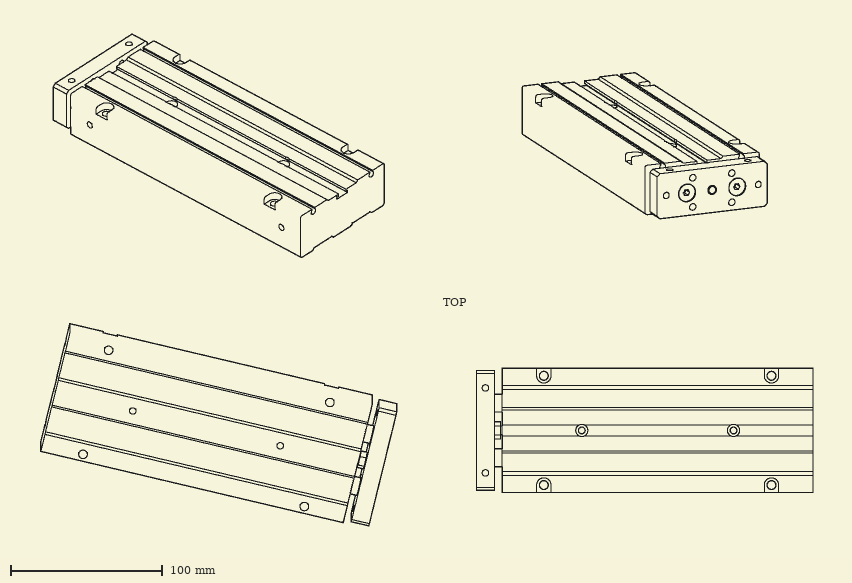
import cadquery as cq
import math


overall_length = 222.0
plate_thickness = 12.0
plate_gap = 5.0
housing_start = plate_thickness + plate_gap
housing_length = overall_length - housing_start

housing_width = 82.0
housing_height = 34.0
half_width = housing_width / 2
half_height = housing_height / 2
top_edge_radius = 1.5
bottom_edge_radius = 2.0

channel_half_width = 15.0
channel_depth = 1.5
groove_half_width = 3.6
groove_depth = 4.8
groove_undercut = 1.5
groove_lip_thickness = 1.8

relief_inner = 8.6
relief_outer = 28.8
relief_depth = 1.5

sensor_slot_y = 28.3
sensor_slot_opening = 2.7
sensor_bore_diameter = 4.2
sensor_bore_depth = 2.5

mount_xs = (44.5, 194.5)
mount_y = 36.0
mount_hole_diameter = 5.7
mount_pocket_width = 9.5
mount_pocket_depth = 5.5

center_hole_xs = (69.5, 169.5)
center_hole_diameter = 4.3
center_bore_diameter = 8.0
center_bore_depth = 9.0

port_end_distance = 17.0
port_xs = (housing_start + port_end_distance, overall_length - port_end_distance)
port_diameter = 4.5
port_depth = 4.0
port_passage_diameter = 2.0
port_passage_depth = 8.0

plate_inset = 1.5
plate_width = housing_width - 2 * plate_inset
plate_height = housing_height - 2 * plate_inset
plate_chamfer = 2.0
face_hole_y = 14.0
face_hole_z = 10.0
face_hole_diameter = 4.5
side_hole_y = 33.0
side_hole_diameter = 4.2
top_hole_y = 28.0
top_hole_diameter = 4.3
top_hole_depth = 8.0

guide_rod_y = 18.0
guide_rod_diameter = 12.0
guide_rod_recess = 1.0
guide_socket_across_flats = 3.8
guide_socket_depth = 6.0
piston_rod_diameter = 6.0
piston_rod_chamfer = 0.6
nut_across_flats = 10.0
nut_thickness = 4.0


def rod_along_x(diameter, start, length, y=0.0, z=0.0):
    """Solid cylinder parallel to X."""
    return cq.Workplane("YZ", origin=(start, y, z)).circle(diameter / 2).extrude(length)


def hexagon_along_x(across_flats, start, length, y=0.0):
    """Solid hexagon bar parallel to X, with two corners along Y."""
    across_corners = across_flats / math.cos(math.pi / 6)
    return cq.Workplane("YZ", origin=(start, y, 0)).polygon(6, across_corners).extrude(length)


def drill_down(diameter, x, y, top, depth):
    """Vertical cylinder that starts at height top and goes down by depth."""
    return cq.Workplane("XY", origin=(x, y, top)).circle(diameter / 2).extrude(-depth)


def housing_bar():
    """Extruded bar with rounded edges, a channel with a T-shaped groove on top and reliefs below."""
    channel_foot = channel_half_width - channel_depth
    channel_floor = half_height - channel_depth
    lip_underside = channel_floor - groove_lip_thickness
    undercut_half_width = groove_half_width + groove_undercut
    groove_floor = half_height - groove_depth
    half_outline = [
        (undercut_half_width, groove_floor),
        (undercut_half_width, lip_underside),
        (groove_half_width, lip_underside),
        (groove_half_width, channel_floor),
        (channel_foot, channel_floor),
        (channel_half_width, half_height),
        (half_width, half_height),
        (half_width, -half_height),
        (relief_outer, -half_height),
        (relief_outer - relief_depth, -half_height + relief_depth),
        (relief_inner + relief_depth, -half_height + relief_depth),
        (relief_inner, -half_height),
    ]
    other_half = [(-y, z) for y, z in reversed(half_outline)]
    section = cq.Workplane("YZ", origin=(housing_start, 0, 0)).polyline(half_outline + other_half).close()
    bar = section.extrude(housing_length)
    for side in ("<Y", ">Y"):
        bar = bar.faces(side).edges(">Z").fillet(top_edge_radius)
        bar = bar.faces(side).edges("<Z").fillet(bottom_edge_radius)
    return bar


def sensor_slot(y):
    """Narrow neck that opens into a round bore."""
    bore_z = half_height - sensor_bore_depth
    bore = rod_along_x(sensor_bore_diameter, housing_start, housing_length, y, bore_z)
    neck = cq.Workplane("XY").box(
        housing_length, sensor_slot_opening, sensor_bore_depth, centered=(False, True, False)
    )
    return bore.union(neck.translate((housing_start, y, bore_z)))


def corner_mount(x, side):
    """Through hole in a round-ended pocket that opens to the side face."""
    hole = drill_down(mount_hole_diameter, x, side * mount_y, half_height, housing_height)
    round_end = drill_down(mount_pocket_width, x, side * mount_y, half_height, mount_pocket_depth)
    opening_length = half_width - mount_y
    opening = cq.Workplane("XY").box(mount_pocket_width, opening_length, mount_pocket_depth)
    opening = opening.translate(
        (x, side * (mount_y + opening_length / 2), half_height - mount_pocket_depth / 2)
    )
    return hole.union(round_end).union(opening)


def center_mount(x):
    """Counterbored through hole on the centreline."""
    hole = drill_down(center_hole_diameter, x, 0, half_height, housing_height)
    return hole.union(drill_down(center_bore_diameter, x, 0, half_height, center_bore_depth))


def air_port(x):
    """Stepped blind hole in the -Y side."""
    mouth = cq.Workplane("XZ", origin=(x, -half_width, 0))
    port = mouth.circle(port_diameter / 2).extrude(-port_depth)
    return port.union(mouth.circle(port_passage_diameter / 2).extrude(-port_passage_depth))


def make_housing():
    housing = housing_bar()
    for side in (-1, 1):
        housing = housing.cut(sensor_slot(side * sensor_slot_y))
        for x in mount_xs:
            housing = housing.cut(corner_mount(x, side))
    for x in center_hole_xs:
        housing = housing.cut(center_mount(x))
    for x in port_xs:
        housing = housing.cut(air_port(x))
    return housing


def make_carriage():
    """End plate with its holes, the two guide rods, the piston rod and its nut."""
    carriage = cq.Workplane("XY").box(
        plate_thickness, plate_width, plate_height, centered=(False, True, True)
    )
    carriage = carriage.edges("|X").chamfer(plate_chamfer)

    for side in (-1, 1):
        for z in (-face_hole_z, face_hole_z):
            carriage = carriage.cut(
                rod_along_x(face_hole_diameter, 0, plate_thickness, side * face_hole_y, z)
            )
        carriage = carriage.cut(
            rod_along_x(side_hole_diameter, 0, plate_thickness, side * side_hole_y)
        )
        carriage = carriage.cut(
            drill_down(top_hole_diameter, plate_thickness / 2, side * top_hole_y,
                       plate_height / 2, top_hole_depth)
        )

        rod_y = side * guide_rod_y
        carriage = carriage.union(rod_along_x(guide_rod_diameter, plate_thickness, plate_gap, rod_y))
        carriage = carriage.cut(rod_along_x(guide_rod_diameter, 0, guide_rod_recess, rod_y))
        socket = hexagon_along_x(guide_socket_across_flats, guide_rod_recess, guide_socket_depth, rod_y)
        carriage = carriage.cut(socket)

    carriage = carriage.cut(rod_along_x(piston_rod_diameter, 0, plate_thickness))
    piston_rod = rod_along_x(piston_rod_diameter, 0, housing_start)
    carriage = carriage.union(piston_rod.faces("<X").chamfer(piston_rod_chamfer))

    return carriage.union(hexagon_along_x(nut_across_flats, plate_thickness, nut_thickness))


housing = make_housing()
carriage = make_carriage()

result = cq.Compound.makeCompound([housing.val(), carriage.val()])